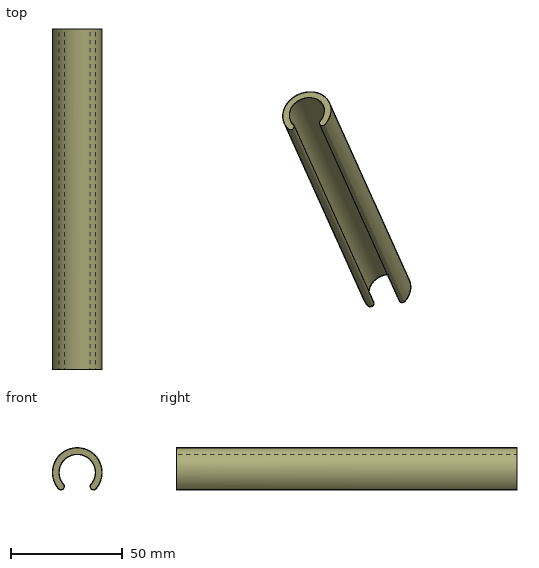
import cadquery as cq
import math

length = 152.4
outer_diameter = 22.3
wall = 3.0
height = 18.9

outer_radius = outer_diameter / 2
inner_radius = outer_radius - wall
middle_radius = outer_radius - wall / 2
lip_radius = wall / 2

lip_drop = height - outer_radius - lip_radius
lip_angle = math.asin(lip_drop / middle_radius)


def lip_side_point(radius, side):
    """Point where a lip meets the wall; side is +1 for +X, -1 for -X."""
    return (side * radius * math.cos(lip_angle), -radius * math.sin(lip_angle))


def lip_tip(side):
    """Tip of the rounded lip, along the end of the wall's middle line."""
    x, z = lip_side_point(middle_radius, side)
    return (
        x - side * lip_radius * math.sin(lip_angle),
        z - lip_radius * math.cos(lip_angle),
    )


profile = (
    cq.Workplane("XZ")
    .moveTo(*lip_side_point(outer_radius, -1))
    .threePointArc((0, outer_radius), lip_side_point(outer_radius, 1))
    .threePointArc(lip_tip(1), lip_side_point(inner_radius, 1))
    .threePointArc((0, inner_radius), lip_side_point(inner_radius, -1))
    .threePointArc(lip_tip(-1), lip_side_point(outer_radius, -1))
    .close()
)

result = profile.extrude(length / 2, both=True)